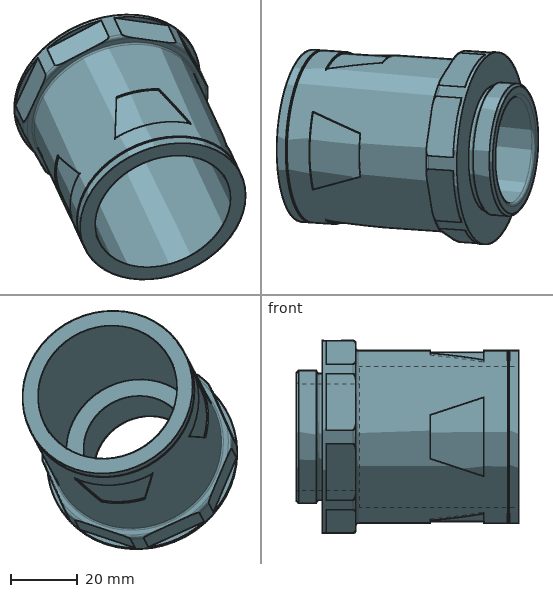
import cadquery as cq
import math

total_length = 67.0
spigot_land_end = 6.0
collar_start = 7.8
flats_start = 9.0
collar_end = 18.0
bore_step = 19.0
grip_start = 40.4
grip_end = 56.5
cap_groove_start = 63.6

bore_diameter = 32.0
rear_bore_diameter = 42.5
spigot_diameter = 40.0
spigot_relief_diameter = 38.16
collar_diameter = 58.0
body_diameter = 52.0
cap_groove_diameter = 46.0

spigot_chamfer = 0.8
bore_mouth_radius = 1.0
relief_flank_angle = 30.0
relief_fillet_radius = 0.5

flat_count = 8
across_flats = 55.0
collar_edge_radius = 1.0
body_fillet_radius = 0.5

grip_count = 4
grip_narrow_width = 13.2
grip_wide_width = 23.8
grip_depth = 0.5
cap_groove_width = 0.5


def x_cylinder(start, end, diameter):
    """Solid cylinder on the X axis between two stations."""
    return cq.Workplane("YZ").workplane(offset=start).circle(diameter / 2).extrude(end - start)


def make_outer_shape():
    """Revolve the solid outline of the spigot, collar, body and end cap."""
    spigot_radius = spigot_diameter / 2
    relief_radius = spigot_relief_diameter / 2
    collar_radius = collar_diameter / 2
    body_radius = body_diameter / 2
    groove_radius = cap_groove_diameter / 2
    cap_start = cap_groove_start + cap_groove_width

    flank = math.radians(relief_flank_angle)
    half_turn = (math.pi / 2 - flank) / 2
    flank_foot = spigot_land_end + (spigot_radius - relief_radius) * math.tan(flank)
    fillet_reach = relief_fillet_radius * math.tan(half_turn)
    fillet_start = (
        flank_foot - fillet_reach * math.sin(flank),
        relief_radius + fillet_reach * math.cos(flank),
    )
    fillet_end = (flank_foot + fillet_reach, relief_radius)
    fillet_middle = (
        fillet_end[0] - relief_fillet_radius * math.sin(half_turn),
        relief_radius + relief_fillet_radius * (1 - math.cos(half_turn)),
    )

    arc_ratio = 1 - math.sqrt(0.5)
    edge_offset = collar_edge_radius * arc_ratio
    body_offset = body_fillet_radius * arc_ratio

    return (
        cq.Workplane("XY")
        .moveTo(0, 0)
        .lineTo(0, spigot_radius - spigot_chamfer)
        .lineTo(spigot_chamfer, spigot_radius)
        .lineTo(spigot_land_end, spigot_radius)
        .lineTo(*fillet_start)
        .threePointArc(fillet_middle, fillet_end)
        .lineTo(collar_start, relief_radius)
        .lineTo(collar_start, collar_radius)
        .lineTo(collar_end - collar_edge_radius, collar_radius)
        .threePointArc(
            (collar_end - edge_offset, collar_radius - edge_offset),
            (collar_end, collar_radius - collar_edge_radius),
        )
        .lineTo(collar_end, body_radius + body_fillet_radius)
        .threePointArc(
            (collar_end + body_offset, body_radius + body_offset),
            (collar_end + body_fillet_radius, body_radius),
        )
        .lineTo(cap_groove_start, body_radius)
        .lineTo(cap_groove_start, groove_radius)
        .lineTo(cap_start, groove_radius)
        .lineTo(cap_start, body_radius)
        .lineTo(total_length, body_radius)
        .lineTo(total_length, 0)
        .close()
        .revolve(360, (0, 0, 0), (1, 0, 0))
    )


def cut_around_axis(part, cutter, count, first_angle):
    """Cut copies of a cutter spaced evenly around the X axis."""
    for index in range(count):
        angle = first_angle + index * 360 / count
        part = part.cut(cutter.rotate((0, 0, 0), (1, 0, 0), angle))
    return part


def cut_wrench_flats(part):
    """Cut the flats, leaving a round rim at the front of the collar."""
    cutter = cq.Workplane("XY").box(
        collar_end - flats_start,
        collar_diameter / 2,
        collar_diameter - across_flats,
        centered=(False, True, False),
    )
    cutter = cutter.translate((flats_start, 0, across_flats / 2))
    half_step = 180 / flat_count
    return cut_around_axis(part, cutter, flat_count, half_step)


def cut_grip_recesses(part):
    """Sink shallow trapezoids with a cylindrical floor into the body."""
    trapezoid = (
        cq.Workplane("XY")
        .moveTo(grip_start, -grip_narrow_width / 2)
        .lineTo(grip_end, -grip_wide_width / 2)
        .lineTo(grip_end, grip_wide_width / 2)
        .lineTo(grip_start, grip_narrow_width / 2)
        .close()
        .extrude(body_diameter)
    )
    floor = x_cylinder(grip_start, grip_end, body_diameter - 2 * grip_depth)
    return cut_around_axis(part, trapezoid.cut(floor), grip_count, 0)


def cut_bore(part):
    """Cut the bore with its rounded mouth, then the wider rear bore."""
    part = part.cut(x_cylinder(0, total_length, bore_diameter))
    mouth_edge = cq.selectors.RadiusNthSelector(0)
    part = part.faces("<X").edges(mouth_edge).fillet(bore_mouth_radius)
    return part.cut(x_cylinder(bore_step, total_length, rear_bore_diameter))


outer_shape = make_outer_shape()
flatted_shape = cut_wrench_flats(outer_shape)
gripped_shape = cut_grip_recesses(flatted_shape)
result = cut_bore(gripped_shape)